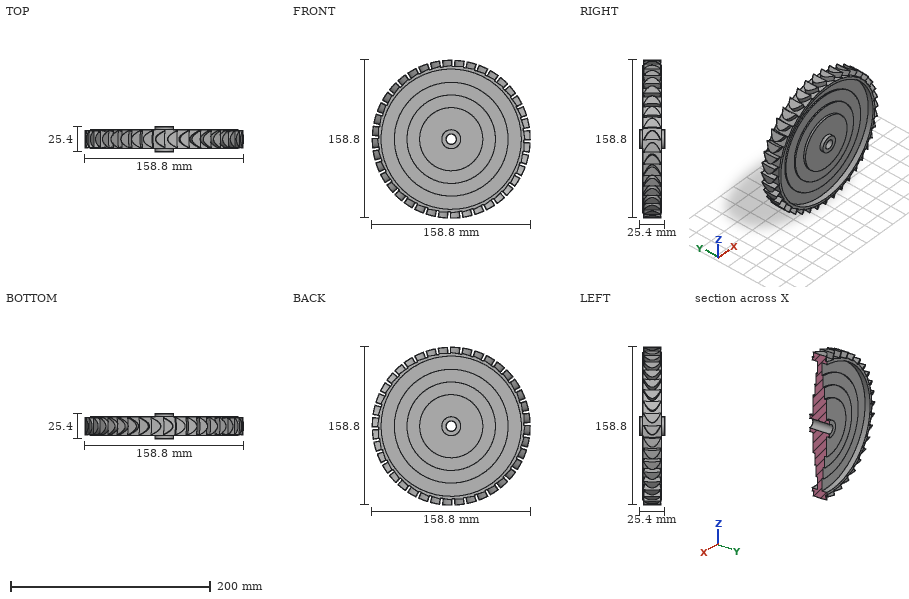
import cadquery as cq
import math

tip_radius = 79.4
bore_radius = 5.1
hub_radius = 9.5
hub_half_width = 12.7
inner_step_radius = 31.8
inner_step_half_width = 8.7
middle_step_radius = 44.5
middle_step_half_width = 6.4
outer_step_radius = 57.2
outer_step_half_width = 4.8
web_half_width = 3.2
rim_inner_radius = 70.5
rim_half_width = 9.5
facet_radius = 73.0

blade_count = 40
blade_half_width = 8.7
blade_nose = -8.9
back_middle = 0.24
back_arc_radius = 68.3
overlap = 1.6

pitch_angle = 360.0 / blade_count
notch_angle = 1.3 * pitch_angle
rim_blank_radius = facet_radius / math.cos(math.radians(pitch_angle)) + overlap


def wheel_body():
    """Revolve the stepped half section, bore included, about the Y axis."""
    steps = [
        (bore_radius, hub_radius, hub_half_width),
        (hub_radius, inner_step_radius, inner_step_half_width),
        (inner_step_radius, middle_step_radius, middle_step_half_width),
        (middle_step_radius, outer_step_radius, outer_step_half_width),
        (outer_step_radius, rim_inner_radius, web_half_width),
        (rim_inner_radius, rim_blank_radius, rim_half_width),
    ]
    upper = []
    for inner, outer, half_width in steps:
        upper += [(inner, half_width), (outer, half_width)]
    lower = [(radius, -y) for radius, y in reversed(upper)]
    section = cq.Workplane("XY").polyline(upper + lower).close()
    return section.revolve(360, (0, 0, 0), (0, 1, 0))


def back_x(y):
    """X of the hollow blade back at the tip radius."""
    return back_middle + back_arc_radius - math.sqrt(back_arc_radius**2 - y**2)


def back_curve(plane, half_width, scale):
    """Draw the blade back from -Y to +Y as a shallow arc."""
    corner_x = back_x(half_width) * scale
    y = half_width * scale
    start = plane.moveTo(corner_x, -y)
    return start.threePointArc((back_middle * scale, 0), (corner_x, y))


def blade_section(radius):
    """Closed blade outline at a radius: hollow back and parabolic front."""
    scale = radius / tip_radius
    plane = cq.Workplane("XY").workplane(offset=radius)
    corner_x = back_x(blade_half_width) * scale
    y = blade_half_width * scale
    control = (2 * blade_nose * scale - corner_x, 0)
    outline = back_curve(plane, blade_half_width, scale)
    return outline.bezier([(corner_x, y), control, (corner_x, -y)]).wire().val()


def notch_section(radius):
    """Closed outline of the rim notch behind a blade at a radius."""
    scale = radius / tip_radius
    plane = cq.Workplane("XY").workplane(offset=radius)
    half_width = rim_half_width + overlap
    y = half_width * scale
    far_x = tip_radius * math.sin(math.radians(notch_angle)) * scale
    outline = back_curve(plane, half_width, scale)
    return outline.lineTo(far_x, y).lineTo(far_x, -y).close().val()


def tapered_solid(section, inner_radius, outer_radius):
    """Join two similar sections with straight lines that aim at the axis."""
    return cq.Solid.makeLoft([section(inner_radius), section(outer_radius)], True)


def around_wheel(solid):
    """Copies of a solid at every blade position."""
    return [solid.rotate((0, 0, 0), (0, 1, 0), i * pitch_angle) for i in range(blade_count)]


notch = tapered_solid(notch_section, facet_radius, rim_blank_radius + overlap)
body = wheel_body().val().cut(*around_wheel(notch))

tip_plane = cq.Workplane("XZ").workplane(offset=-rim_half_width)
tip_cylinder = tip_plane.circle(tip_radius).extrude(2 * rim_half_width).val()
blade = tapered_solid(blade_section, facet_radius - overlap, tip_radius + overlap)
blade = blade.intersect(tip_cylinder)

wheel = body.fuse(*around_wheel(blade)).clean()
result = cq.Workplane(wheel.Solids()[0])